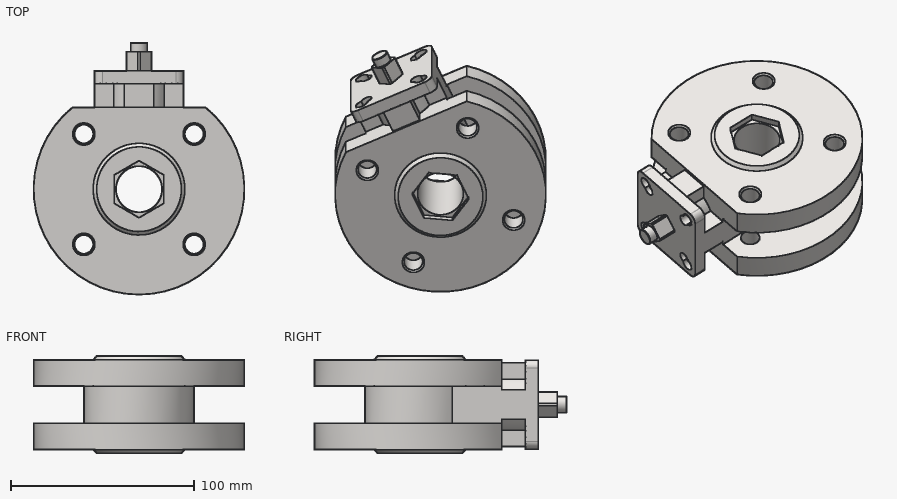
import cadquery as cq
import math

flange_diameter = 115.0
flange_thickness = 14.4
flange_gap = 20.0
flange_flat_y = 44.7
hub_diameter = 60.0
face_diameter = 50.0
face_height = 2.0
face_taper = 1.9
flange_top_z = flange_gap / 2 + flange_thickness
body_top_z = flange_top_z + face_height

bore_diameter = 25.0
hex_across_flats = 26.9
hex_depth = 4.0

bolt_circle_diameter = 85.0
bolt_hole_diameter = 10.2
bolt_hole_chamfer = 1.0
countersink_angle = 90

plate_side = 48.6
plate_thickness = 7.0
plate_corner_radius = 4.3
plate_outer_hole_diameter = 7.0
plate_outer_hole_circle = 50.0
plate_inner_hole_diameter = 6.2
plate_inner_hole_circle = 42.0
neck_rib_width = 16.1
neck_rib_height = 45.9
neck_core_diameter = 32.0

stem_square_side = 10.7
stem_corner_span = 13.9
stem_square_length = 10.5
tip_diameter = 9.0
tip_length = 5.0
tip_chamfer = 0.3

overall_length = 137.4
tip_end_y = overall_length - flange_diameter / 2
square_end_y = tip_end_y - tip_length
plate_outer_y = square_end_y - stem_square_length
plate_inner_y = plate_outer_y - plate_thickness


def plane_at_y(y):
    """Workplane across the stem axis, extruding toward +Y."""
    return cq.Workplane(cq.Plane(origin=(0, y, 0), xDir=(1, 0, 0), normal=(0, 1, 0)))


def square_pattern(circle_diameter):
    """Four points at 45 degrees on a circle."""
    offset = circle_diameter / 2 / math.sqrt(2)
    return [(x, y) for x in (-offset, offset) for y in (-offset, offset)]


def make_flange_end():
    """Upper flange with its tapered sealing face and countersunk bolt holes."""
    flange = cq.Workplane("XY", origin=(0, 0, flange_gap / 2)).circle(flange_diameter / 2)
    flange = flange.extrude(flange_thickness)
    cut_away = cq.Workplane("XY").box(
        flange_diameter, flange_diameter, body_top_z, centered=(True, False, False)
    )
    flange = flange.cut(cut_away.translate((0, flange_flat_y, 0)))
    flange = (
        flange.faces(">Z")
        .workplane(origin=(0, 0, flange_top_z))
        .pushPoints(square_pattern(bolt_circle_diameter))
        .cskHole(bolt_hole_diameter, bolt_hole_diameter + 2 * bolt_hole_chamfer, countersink_angle)
    )
    taper_angle = math.degrees(math.atan(face_taper / face_height))
    face = cq.Workplane("XY", origin=(0, 0, flange_top_z)).circle(face_diameter / 2)
    return flange.union(face.extrude(face_height, taper=taper_angle))


def make_neck():
    """Bar from the hub, carrying a ribbed core between flange flats and plate."""
    bar = cq.Workplane("XY").box(plate_side, flange_flat_y, flange_gap, centered=(True, False, True))
    core_length = plate_inner_y - flange_flat_y
    core = plane_at_y(flange_flat_y).circle(neck_core_diameter / 2).extrude(core_length)
    for width, height in ((plate_side, neck_rib_width), (neck_rib_width, neck_rib_height)):
        core = core.union(plane_at_y(flange_flat_y).rect(width, height).extrude(core_length))
    return bar.union(core)


def make_plate():
    """Square mounting plate with rounded corners and two overlapping sets of four holes."""
    plate = plane_at_y(plate_inner_y).rect(plate_side, plate_side).extrude(plate_thickness)
    plate = plate.edges("|Y").fillet(plate_corner_radius)
    hole_sets = (
        (plate_outer_hole_circle, plate_outer_hole_diameter),
        (plate_inner_hole_circle, plate_inner_hole_diameter),
    )
    for hole_circle, diameter in hole_sets:
        holes = plane_at_y(plate_inner_y).pushPoints(square_pattern(hole_circle)).circle(diameter / 2)
        plate = plate.cut(holes.extrude(plate_thickness))
    return plate


def make_stem():
    """Square drive standing on its corner, with a round tip."""
    square = plane_at_y(plate_outer_y).rect(stem_square_side, stem_square_side)
    square = square.extrude(stem_square_length).rotate((0, 0, 0), (0, 1, 0), 45)
    envelope = plane_at_y(plate_outer_y).rect(stem_corner_span, stem_corner_span)
    square = square.intersect(envelope.extrude(stem_square_length))
    tip = plane_at_y(square_end_y).circle(tip_diameter / 2).extrude(tip_length)
    return square.union(tip.faces(">Y").chamfer(tip_chamfer))


def make_bore():
    """Through bore and the two hexagonal recesses, corners toward +Y and -Y."""
    cutter = cq.Workplane("XY").circle(bore_diameter / 2).extrude(body_top_z, both=True)
    hex_corner_diameter = hex_across_flats / math.cos(math.pi / 6)
    recess = cq.Workplane("XY", origin=(0, 0, body_top_z - hex_depth))
    recess = recess.transformed(rotate=(0, 0, 90)).polygon(6, hex_corner_diameter).extrude(hex_depth)
    return cutter.union(recess).union(recess.mirror("XY"))


flange_end = make_flange_end()
result = cq.Workplane("XY").circle(hub_diameter / 2).extrude(flange_gap / 2, both=True)
for section in (flange_end, flange_end.mirror("XY"), make_neck(), make_plate(), make_stem()):
    result = result.union(section)
result = result.cut(make_bore())